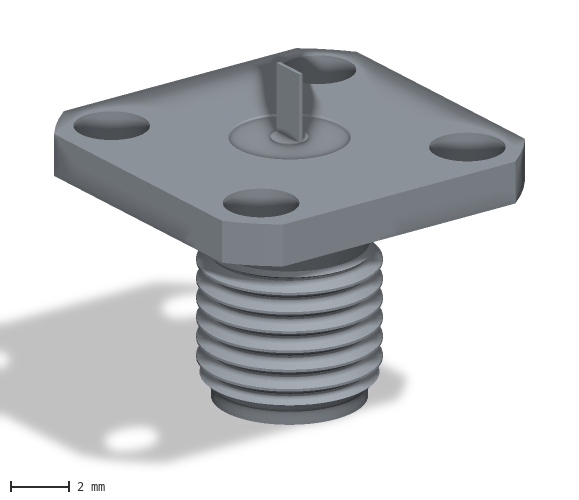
import cadquery as cq
import math

FLANGE_SIDE = 12.7
FLANGE_CORNER_DIAMETER = 16.0
FLANGE_THICKNESS = 1.54
HOLE_DIAMETER = 2.6
HOLE_SPACING = 8.65

RECESS_DIAMETER = 4.19
RECESS_DEPTH = 0.06

CONTACT_DIAMETER = 1.3
TAB_THICKNESS = 0.14
TAB_HEIGHT = 2.5

BARREL_LENGTH = 7.95
BARREL_DIAMETER = 5.45
COLLAR_CHAMFER = 0.24
PILOT_DIAMETER = 5.35
PILOT_LENGTH = 0.48

THREAD_DIAMETER = 6.35
FULL_RIDGES = 6
FIRST_FULL_RIDGE_DEPTH = 2.65
LAST_RIDGE_DEPTH = 6.88
THREAD_RELIEF_DEPTH = 2.31
FLANK_ANGLE = 30.0

BARREL_RADIUS = BARREL_DIAMETER / 2
PILOT_RADIUS = PILOT_DIAMETER / 2
THREAD_RADIUS = THREAD_DIAMETER / 2
PILOT_START = BARREL_LENGTH - PILOT_LENGTH
UNDERSIDE_Z = -FLANGE_THICKNESS
PITCH = (LAST_RIDGE_DEPTH - FIRST_FULL_RIDGE_DEPTH) / FULL_RIDGES
RIDGE_HEIGHT = THREAD_RADIUS - BARREL_RADIUS
FLANK_LENGTH = RIDGE_HEIGHT * math.tan(math.radians(FLANK_ANGLE))
CREST_WIDTH = PITCH / 2 - FLANK_LENGTH


def revolve_profile(points):
    """Revolve (radius, depth below the flange underside) points about Z."""
    outline = [(radius, UNDERSIDE_Z - depth) for radius, depth in points]
    return cq.Workplane("XZ").polyline(outline).close().revolve(360, (0, 0), (0, 1))


def make_flange():
    plate = cq.Workplane("XY").rect(FLANGE_SIDE, FLANGE_SIDE).extrude(-FLANGE_THICKNESS)
    round_blank = cq.Workplane("XY").circle(FLANGE_CORNER_DIAMETER / 2).extrude(-FLANGE_THICKNESS)
    holes = (
        cq.Workplane("XY")
        .rect(HOLE_SPACING, HOLE_SPACING, forConstruction=True)
        .vertices()
        .circle(HOLE_DIAMETER / 2)
        .extrude(-FLANGE_THICKNESS)
    )
    recess_radius = RECESS_DIAMETER / 2
    recess_floor = cq.Vector(0, 0, -RECESS_DEPTH)
    recess = cq.Workplane(
        cq.Solid.makeCone(recess_radius - RECESS_DEPTH, recess_radius, RECESS_DEPTH, recess_floor)
    )
    return plate.intersect(round_blank).cut(holes).cut(recess)


def make_contact():
    contact_radius = CONTACT_DIAMETER / 2
    stub = cq.Workplane("XY", origin=(0, 0, -RECESS_DEPTH)).circle(contact_radius).extrude(RECESS_DEPTH)
    tab_blank = cq.Workplane("XY").rect(CONTACT_DIAMETER, TAB_THICKNESS).extrude(TAB_HEIGHT)
    tab = cq.Workplane("XY").circle(contact_radius).extrude(TAB_HEIGHT).intersect(tab_blank)
    return stub.union(tab)


def make_barrel():
    return revolve_profile([
        (0, 0),
        (BARREL_RADIUS + COLLAR_CHAMFER, 0),
        (BARREL_RADIUS, COLLAR_CHAMFER),
        (BARREL_RADIUS, LAST_RIDGE_DEPTH),
        (PILOT_RADIUS, PILOT_START),
        (PILOT_RADIUS, BARREL_LENGTH),
        (0, BARREL_LENGTH),
    ])


def make_ridge(start):
    return revolve_profile([
        (0, start),
        (BARREL_RADIUS, start),
        (THREAD_RADIUS, start + FLANK_LENGTH),
        (THREAD_RADIUS, start + FLANK_LENGTH + CREST_WIDTH),
        (BARREL_RADIUS, start + 2 * FLANK_LENGTH + CREST_WIDTH),
        (0, start + 2 * FLANK_LENGTH + CREST_WIDTH),
    ])


def make_thread_envelope():
    """Body that trims both thread ends with 45 degree chamfers."""
    return revolve_profile([
        (0, THREAD_RELIEF_DEPTH),
        (BARREL_RADIUS, THREAD_RELIEF_DEPTH),
        (THREAD_RADIUS, THREAD_RELIEF_DEPTH + RIDGE_HEIGHT),
        (THREAD_RADIUS, PILOT_START - (THREAD_RADIUS - PILOT_RADIUS)),
        (PILOT_RADIUS, PILOT_START),
        (0, PILOT_START),
    ])


result = make_flange().union(make_contact()).union(make_barrel())

envelope = make_thread_envelope()
for index in range(-1, FULL_RIDGES + 1):
    ridge = make_ridge(FIRST_FULL_RIDGE_DEPTH + index * PITCH)
    result = result.union(ridge.intersect(envelope))